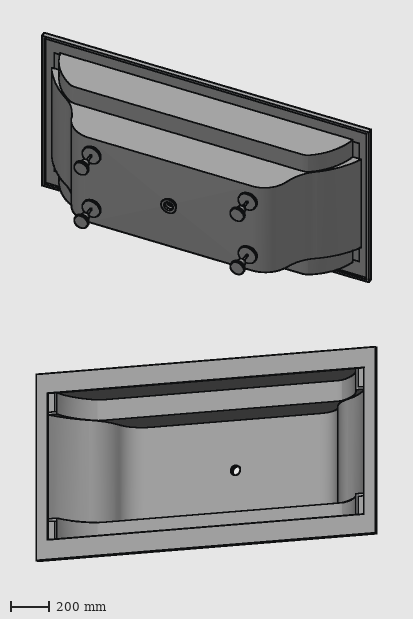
import cadquery as cq
import math


rim_length = 1885.0
rim_width = 990.0
rim_depth = 28.0
lip_thickness = 14.5
lip_height = 14.0
plate_depth = rim_depth - lip_height
wall = 14.0
corner_web = 2.4

basin_top_x = rim_length / 2 - 49.0
basin_bend_x = rim_length / 2 - 214.0
basin_bend_depth = 202.0
basin_waist_x = rim_length / 2 - 321.0
basin_waist_depth = 340.0
floor_half_length = rim_length / 2 - 471.0
floor_depth = 450.0
upper_end_bulge = 15.0
basin_top_half_width = 291.0
floor_half_width = 279.0

heel_run = basin_waist_x - floor_half_length
heel_drop = floor_depth - basin_waist_depth
heel_half_turn = math.atan2(heel_drop, heel_run)
heel_bulge = math.hypot(heel_run, heel_drop) / 2 * math.tan(heel_half_turn / 2)
waist_run = basin_bend_x - basin_waist_x
waist_drop = basin_waist_depth - basin_bend_depth
waist_half_turn = 2 * heel_half_turn - math.atan2(waist_drop, waist_run)
waist_hollow = math.hypot(waist_run, waist_drop) / 2 * math.tan(waist_half_turn / 2)

shoulder_top_x = rim_length / 2 - 98.0
shoulder_bend_x = rim_length / 2 - 256.0
shoulder_bend_depth = 222.0
ledge_half_length = rim_length / 2 - 290.0
ledge_depth = 229.0
shoulder_bulge = 26.0
ledge_edge_bulge = 1.7
shoulder_top_half_width = 404.0
ledge_half_width = 394.0

fall_height = 6.0
fall_side_margin = 1.0
fall_half_width = floor_half_width - fall_side_margin

drain_bore_radius = 26.0
drain_top_radius = 37.0
drain_bottom_radius = 43.0
drain_bottom_depth = 471.0

foot_x = 450.0
foot_z = 176.0
pad_radius = 51.0
pad_embedding = 2.0
pad_top_depth = floor_depth - pad_embedding
pad_bottom_depth = 463.0
rod_radius = 5.5
cup_top_depth = 524.0
cup_top_radius = 20.0
cup_bottom_radius = 36.0
cup_bulge = 3.5
sole_top_depth = 569.0
sole_radius = 39.0
foot_bottom_depth = 585.0


basin_arcs = [
    (basin_bend_x, basin_bend_depth, upper_end_bulge),
    (basin_waist_x, basin_waist_depth, -waist_hollow),
    (floor_half_length, floor_depth, heel_bulge),
]
shoulder_arcs = [
    (shoulder_bend_x, shoulder_bend_depth, shoulder_bulge),
    (ledge_half_length, ledge_depth, ledge_edge_bulge),
]


def end_profile(top_x, arcs, face_depth):
    """Closed XY outline, symmetric in X, from face_depth down to the flat bottom."""
    outline = cq.Workplane("XY").moveTo(top_x, -face_depth).lineTo(top_x, -plate_depth)
    for x, depth, bulge in arcs:
        outline = outline.sagittaArc((x, -depth), bulge)
    bottom_x, bottom_depth, _ = arcs[-1]
    outline = outline.lineTo(-bottom_x, -bottom_depth)
    arc_starts = [(top_x, plate_depth)] + [(x, depth) for x, depth, _ in arcs[:-1]]
    for (x, depth), (_, _, bulge) in zip(reversed(arc_starts), reversed(arcs)):
        outline = outline.sagittaArc((-x, -depth), bulge)
    return outline.lineTo(-top_x, -face_depth).close()


def trough(top_x, arcs, top_half_width, bottom_half_width, inset=0.0):
    """Profile swept along Z, with side walls drafted inward toward the bottom.

    An inset moves the bottom, ends and sides inward and keeps the top at Y = 0.
    """
    outline = end_profile(top_x, arcs, face_depth=-inset)
    if inset:
        outline = outline.offset2D(-inset)
    swept = outline.extrude(top_half_width, both=True)
    bottom_depth = arcs[-1][1]
    top_z = top_half_width - inset
    bottom_z = bottom_half_width - inset
    sides = (
        cq.Workplane("YZ")
        .polyline([(0, -top_z), (0, top_z), (-bottom_depth, bottom_z), (-bottom_depth, -bottom_z)])
        .close()
        .extrude(top_x, both=True)
    )
    return swept.intersect(sides)


def basin(inset=0.0):
    return trough(basin_top_x, basin_arcs, basin_top_half_width, floor_half_width, inset)


def shoulders(inset=0.0):
    return trough(shoulder_top_x, shoulder_arcs, shoulder_top_half_width, ledge_half_width, inset)


def rim():
    """Thin plate with a lip hanging from its border."""
    tray = cq.Workplane("XY").box(rim_length, rim_depth, rim_width).translate((0, -rim_depth / 2, 0))
    recess = (
        cq.Workplane("XZ", origin=(0, -plate_depth, 0))
        .rect(rim_length - 2 * lip_thickness, rim_width - 2 * lip_thickness)
        .extrude(lip_height)
    )
    return tray.cut(recess)


def rim_well():
    """Rectangular well in the rim face around both cavities, with a thin web left in its corners."""
    return (
        cq.Workplane("XZ")
        .rect(2 * (basin_top_x - wall), 2 * (shoulder_top_half_width - wall))
        .extrude(plate_depth - corner_web)
    )


def floor_fall():
    """Low pyramid under the floor: the overlap of two crossed triangular prisms."""
    apex = -floor_depth - fall_height
    across_x = (
        cq.Workplane("XY")
        .polyline([(-floor_half_length, -floor_depth), (floor_half_length, -floor_depth), (0, apex)])
        .close()
        .extrude(fall_half_width, both=True)
    )
    across_z = (
        cq.Workplane("YZ")
        .polyline([(-floor_depth, -fall_half_width), (-floor_depth, fall_half_width), (apex, 0)])
        .close()
        .extrude(floor_half_length, both=True)
    )
    return across_x.intersect(across_z)


def foot(x, z):
    """Mounting pad, threaded rod and bell-shaped foot, revolved about the rod."""
    half_section = (
        cq.Workplane("XY")
        .moveTo(0, -pad_top_depth)
        .lineTo(pad_radius, -pad_top_depth)
        .lineTo(pad_radius, -pad_bottom_depth)
        .lineTo(rod_radius, -pad_bottom_depth)
        .lineTo(rod_radius, -cup_top_depth)
        .lineTo(cup_top_radius, -cup_top_depth)
        .sagittaArc((cup_bottom_radius, -sole_top_depth), -cup_bulge)
        .lineTo(sole_radius, -sole_top_depth)
        .lineTo(sole_radius, -foot_bottom_depth)
        .lineTo(0, -foot_bottom_depth)
        .close()
    )
    return half_section.revolve(360, (0, 0, 0), (0, 1, 0)).translate((x, 0, z))


def build_tub():
    tub = rim().union(shoulders()).union(basin())
    tub = tub.cut(rim_well()).cut(shoulders(wall)).cut(basin(wall))
    tub = tub.union(floor_fall())
    for x in (-foot_x, foot_x):
        for z in (-foot_z, foot_z):
            tub = tub.union(foot(x, z))
    drain_hole = cq.Workplane("XZ").circle(drain_bore_radius).extrude(drain_bottom_depth)
    return tub.cut(drain_hole)


def build_drain(tub):
    """Flared outlet ring whose top is shaped to the sloping floor underside."""
    flare = (
        cq.Workplane("XY")
        .moveTo(drain_bore_radius, -floor_depth)
        .lineTo(drain_top_radius, -floor_depth)
        .lineTo(drain_bottom_radius, -drain_bottom_depth)
        .lineTo(drain_bore_radius, -drain_bottom_depth)
        .close()
        .revolve(360, (0, 0, 0), (0, 1, 0))
    )
    return flare.cut(tub)


tub = build_tub()
drain = build_drain(tub)

result = cq.Compound.makeCompound([tub.val(), drain.val()])